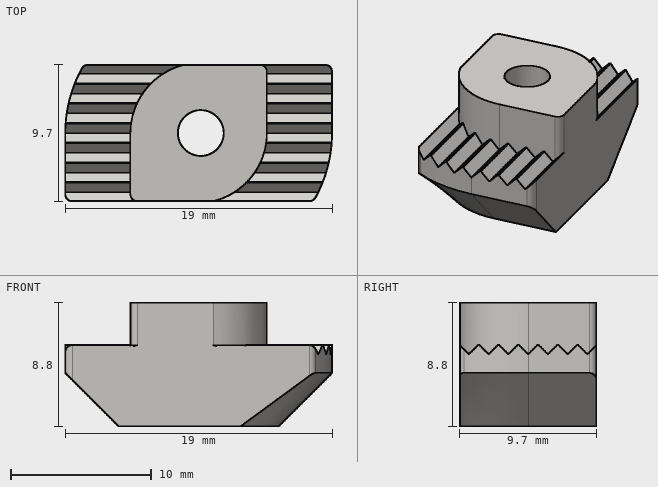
import cadquery as cq
import math

length = 19.0
width = 9.7
shoulder_height = 3.8
base_height = 5.8
end_slope_run = 3.8
corner_radius = 0.5

total_height = 8.8
boss_arc_radius = 5.0
hole_diameter = 3.25
hole_x = 0.15

tooth_pitch = 1.4
tooth_depth = 0.66
valley_count = 7

half_width = width / 2


def turned_outline(plane, half_length, arc_radius):
    """Rectangle with two opposite corners replaced by arcs tangent to the ends at Y = 0."""
    arc_center = half_length - arc_radius
    arc_end_angle = math.asin(half_width / arc_radius)
    arc_end = arc_center + arc_radius * math.cos(arc_end_angle)
    arc_mid_x = arc_center + arc_radius * math.cos(arc_end_angle / 2)
    arc_mid_y = arc_radius * math.sin(arc_end_angle / 2)
    return (
        plane.moveTo(half_length, 0)
        .lineTo(half_length, half_width)
        .lineTo(-arc_end, half_width)
        .threePointArc((-arc_mid_x, arc_mid_y), (-half_length, 0))
        .lineTo(-half_length, -half_width)
        .lineTo(arc_end, -half_width)
        .threePointArc((arc_mid_x, -arc_mid_y), (half_length, 0))
        .close()
    )


def make_base():
    """Plate with rounded corners, narrowing to a shorter underside through ruled end faces."""
    top_radius = length / 2
    bottom_radius = top_radius - end_slope_run
    bottom = turned_outline(cq.Workplane("XY"), bottom_radius, bottom_radius)
    lower = turned_outline(
        bottom.workplane(offset=shoulder_height), top_radius, top_radius
    ).loft(ruled=True)
    upper = turned_outline(
        cq.Workplane("XY").workplane(offset=shoulder_height), top_radius, top_radius
    ).extrude(base_height - shoulder_height)
    rounded_envelope = (
        turned_outline(cq.Workplane("XY"), top_radius, top_radius)
        .extrude(base_height)
        .edges("|Z and (>(1,1,0) or <(1,1,0) or >(1,-1,0) or <(1,-1,0))")
        .fillet(corner_radius)
    )
    return lower.union(upper).intersect(rounded_envelope)


def cut_teeth(base):
    """Cut V grooves along X, one centred on the part and the others spaced evenly."""
    for index in range(valley_count):
        valley_y = (index - (valley_count - 1) / 2) * tooth_pitch
        groove = (
            cq.Workplane("YZ", origin=(-length / 2, valley_y, base_height))
            .moveTo(-tooth_depth, 0)
            .lineTo(0, -tooth_depth)
            .lineTo(tooth_depth, 0)
            .close()
            .extrude(length)
        )
        base = base.cut(groove)
    return base


def make_boss():
    """Square boss with two large arcs and two small rounded corners, rooted below the teeth."""
    root_height = base_height - tooth_depth
    return (
        turned_outline(
            cq.Workplane("XY").workplane(offset=root_height), half_width, boss_arc_radius
        )
        .extrude(total_height - root_height)
        .edges("|Z and (>(1,1,0) or <(1,1,0))")
        .fillet(corner_radius)
    )


hole = cq.Workplane("XY").center(hole_x, 0).circle(hole_diameter / 2).extrude(total_height)
result = cut_teeth(make_base()).union(make_boss()).cut(hole)